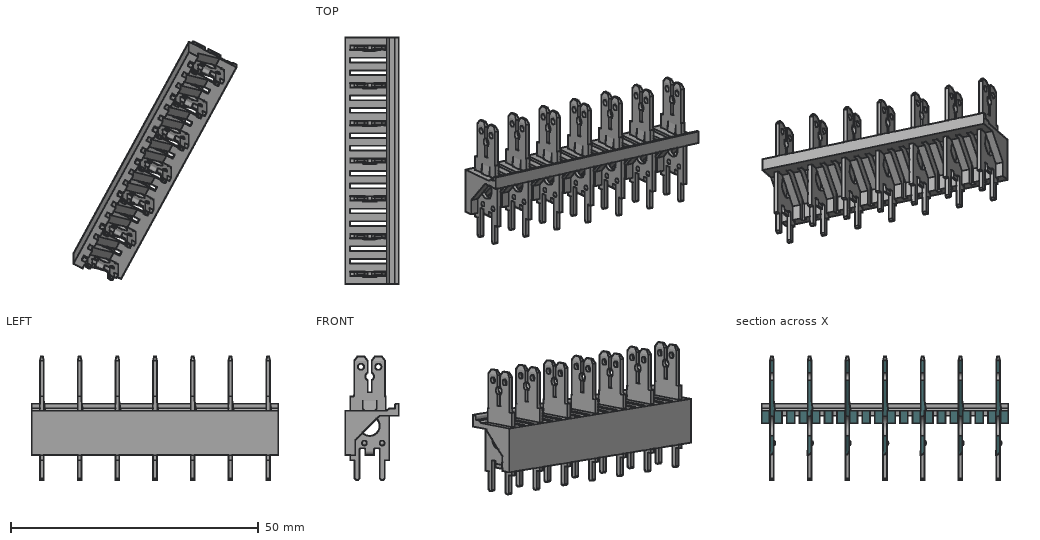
import cadquery as cq

terminal_count = 7
slot_pitch = 2.54
slots_per_terminal = 3
terminal_pitch = slots_per_terminal * slot_pitch
slot_count = slots_per_terminal * (terminal_count - 1) + 1

housing_length = 49.84
housing_top = 14.05
housing_bottom = 5.05
back_wall_depth = 2.1
back_wall_top = 8.1
shelf_bottom = 13.0
shelf_start = back_wall_depth + (shelf_bottom - back_wall_top)
ramp_start = 8.4
ramp_end = 8.95
ledge_height = 14.5
lip_start = 10.05
lip_top = 15.45
lip_round = 0.4
shelf_end = 10.9

slot_width = 0.9
slot_start = 1.05
slot_end = ramp_start

thickness = 0.82
terminal_center = 4.975
body_left = slot_start
body_right = 8.95
body_bottom = 4.0
neck_right = 8.25
neck_top = 16.9
shoulder_round = 0.3
solder_pin_spacing = 5.08
solder_pin_width = 1.05
solder_pin_chamfer = 0.32
notch_top = 6.4
notch_round = 0.2
window_diameter = 4.0
window_height = 10.95

terminal_top = 25.0
blade_span = 6.3
blade_gap = 0.75
blade_width = (blade_span - blade_gap) / 2
blade_offset = (blade_span + blade_gap) / 4
blade_tip_length = 0.9
blade_tip_side_taper = 0.68
blade_tip_face_taper = 0.2
blade_hole_diameter = 1.2
blade_hole_spacing = 3.5
blade_hole_height = 22.9
gap_bottom = 17.8
relief_diameter = 1.7
relief_height = 20.95

wedge_width = 2.8
wedge_top = 16.0
wedge_bottom = housing_top
wedge_depth = 0.28
wedge_corner_chamfer = 0.35

bump_positions = (3.92, 7.5)
bump_height = 7.47
bump_diameter = 1.0
bump_rise = 0.3

tongue_width = 1.83
tongue_bottom = 5.05
tongue_inner_radius = 0.05
tongue_outer_radius = tongue_inner_radius + thickness
tongue_bend_top = tongue_bottom + tongue_outer_radius

front_face = -thickness / 2
back_face = thickness / 2


def box(x_min, x_max, y_min, y_max, z_min, z_max):
    """Axis-aligned block between the given limits."""
    block = cq.Workplane("XY").box(x_max - x_min, y_max - y_min, z_max - z_min, centered=False)
    return block.translate((x_min, y_min, z_min))


def make_housing():
    """Back wall with a sloped underside and a lipped shelf, pierced by a row of slots."""
    body = (
        cq.Workplane("XZ")
        .moveTo(0, housing_bottom)
        .lineTo(0, housing_top)
        .lineTo(ramp_start, housing_top)
        .lineTo(ramp_end, ledge_height)
        .lineTo(lip_start, ledge_height)
        .lineTo(lip_start, lip_top - lip_round)
        .radiusArc((lip_start + lip_round, lip_top), lip_round)
        .lineTo(shelf_end, lip_top)
        .lineTo(shelf_end, shelf_bottom)
        .lineTo(shelf_start, shelf_bottom)
        .lineTo(back_wall_depth, back_wall_top)
        .lineTo(back_wall_depth, housing_bottom)
        .close()
        .extrude(housing_length / 2, both=True)
    )
    for index in range(slot_count):
        slot_y = (index - (slot_count - 1) / 2) * slot_pitch
        body = body.cut(
            box(slot_start, slot_end, slot_y - slot_width / 2, slot_y + slot_width / 2,
                housing_bottom, housing_top)
        )
    return body


def flat_plate(x_min, x_max, z_min, z_max):
    """Sheet-metal rectangle of the terminal thickness, centred on Y = 0."""
    return box(x_min, x_max, front_face, back_face, z_min, z_max)


def cross_hole(x, z, diameter):
    """Cylinder along Y that cuts a hole through the sheet."""
    return cq.Workplane("XZ").center(x, z).circle(diameter / 2).extrude(thickness, both=True)


def make_blade(blade_x):
    """One contact blade with its four-sided tapered tip."""
    shoulder = terminal_top - blade_tip_length
    shank = flat_plate(blade_x - blade_width / 2, blade_x + blade_width / 2, gap_bottom, shoulder)
    tip = (
        cq.Workplane("XY", origin=(blade_x, 0, shoulder))
        .rect(blade_width, thickness)
        .workplane(offset=blade_tip_length)
        .rect(blade_width - 2 * blade_tip_side_taper, thickness - 2 * blade_tip_face_taper)
        .loft(ruled=True)
    )
    return shank.union(tip)


def make_solder_pin(pin_x):
    """One solder pin with chamfered tip corners, reaching up into the body."""
    pin = flat_plate(pin_x - solder_pin_width / 2, pin_x + solder_pin_width / 2, 0, notch_top)
    return pin.edges("<Z and |Y").chamfer(solder_pin_chamfer)


def make_notch(x_min, x_max):
    """Clearance beside the tongue, with rounded upper corners."""
    notch = box(x_min, x_max, -thickness, thickness, 0, notch_top)
    return notch.edges(">Z and |Y").fillet(notch_round)


def make_tongue():
    """Tongue that hangs from the body and bends a quarter turn toward +Y."""
    bend_y = front_face + tongue_outer_radius
    return (
        cq.Workplane("YZ", origin=(terminal_center - tongue_width / 2, 0, 0))
        .moveTo(front_face, notch_top)
        .lineTo(front_face, tongue_bend_top)
        .radiusArc((bend_y, tongue_bottom), -tongue_outer_radius)
        .lineTo(bend_y, tongue_bottom + thickness)
        .radiusArc((back_face, tongue_bend_top), tongue_inner_radius)
        .lineTo(back_face, notch_top)
        .close()
        .extrude(tongue_width)
    )


def make_wedge():
    """Locking wedge on the front face, growing thicker toward the housing top."""
    wedge = (
        cq.Workplane("YZ", origin=(terminal_center - wedge_width / 2, 0, 0))
        .moveTo(front_face, wedge_top)
        .lineTo(front_face - wedge_depth, wedge_bottom)
        .lineTo(front_face, wedge_bottom)
        .close()
        .extrude(wedge_width)
    )
    return wedge.edges("<Z and |Y").chamfer(wedge_corner_chamfer)


def make_bump(bump_x):
    """Shallow spherical bump on the front face."""
    radius = bump_diameter / 2
    sphere_radius = (radius**2 + bump_rise**2) / (2 * bump_rise)
    bump = (
        cq.Workplane("XY")
        .moveTo(0, front_face)
        .lineTo(radius, front_face)
        .radiusArc((0, front_face - bump_rise), sphere_radius)
        .close()
        .revolve(360, (0, 0), (0, 1))
    )
    return bump.translate((bump_x, 0, bump_height))


def round_shoulder(terminal):
    """Fillet the inner corner of the wide shoulder beside the blades."""
    corner = (terminal_center - blade_span / 2, 0, neck_top)
    return terminal.edges(cq.selectors.NearestToPointSelector(corner)).fillet(shoulder_round)


def make_terminal():
    """Complete sheet-metal terminal, centred on Y = 0."""
    terminal = flat_plate(body_left, body_right, body_bottom, shelf_bottom)
    terminal = terminal.union(flat_plate(body_left, neck_right, shelf_bottom, neck_top))
    terminal = terminal.union(
        flat_plate(terminal_center - blade_span / 2, terminal_center + blade_span / 2,
                   neck_top, gap_bottom)
    )

    terminal = round_shoulder(terminal)

    pin_inner_offset = (solder_pin_spacing - solder_pin_width) / 2
    terminal = terminal.cut(
        make_notch(terminal_center - pin_inner_offset, terminal_center - tongue_width / 2)
    )
    terminal = terminal.cut(
        make_notch(terminal_center + tongue_width / 2, terminal_center + pin_inner_offset)
    )
    terminal = terminal.cut(
        box(terminal_center - tongue_width / 2, terminal_center + tongue_width / 2,
            -thickness, thickness, 0, tongue_bend_top)
    )
    terminal = terminal.union(make_tongue())

    for side in (-1, 1):
        terminal = terminal.union(make_solder_pin(terminal_center + side * solder_pin_spacing / 2))
        terminal = terminal.union(make_blade(terminal_center + side * blade_offset))

    terminal = terminal.cut(cross_hole(terminal_center, relief_height, relief_diameter))
    terminal = terminal.cut(cross_hole(terminal_center, window_height, window_diameter))
    for side in (-1, 1):
        hole_x = terminal_center + side * blade_hole_spacing / 2
        terminal = terminal.cut(cross_hole(hole_x, blade_hole_height, blade_hole_diameter))

    terminal = terminal.union(make_wedge())
    for bump_x in bump_positions:
        terminal = terminal.union(make_bump(bump_x))
    return terminal


housing = make_housing()
terminal = make_terminal()
terminals = []
for index in range(terminal_count):
    terminal_y = (index - (terminal_count - 1) / 2) * terminal_pitch
    terminals.append(terminal.translate((0, terminal_y, 0)).solids().val())

result = cq.Compound.makeCompound([housing.solids().val(), *terminals])